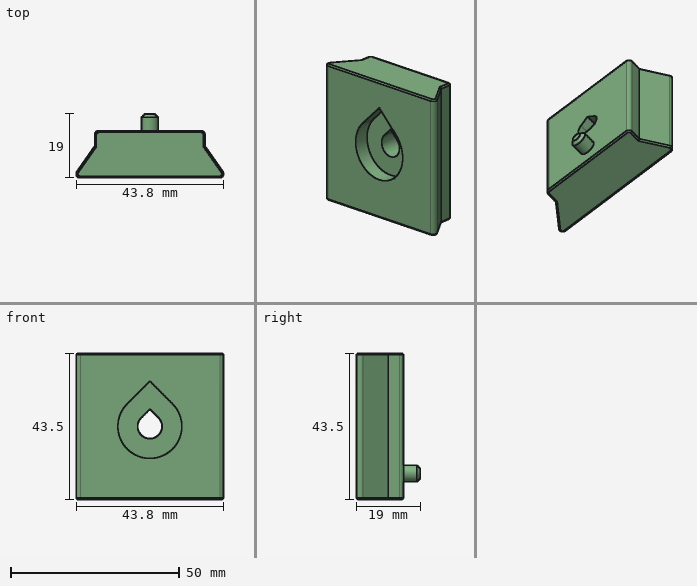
import cadquery as cq
import math

block_height = 43.5
block_thickness = 14.0
front_width = 46.0
back_width = 32.8
flank_angle = 35.0
corner_radius = 1.2
end_chamfer = 0.5

hole_radius = 3.6
recess_radius = 9.5
recess_depth = 5.0

pin_diameter = 5.0
pin_length = 5.0
pin_chamfer = 1.0
pin_z = -14.0


def make_block():
    """Dovetail profile extruded along Z, with rounded corners and chamfered ends."""
    front_half = front_width / 2
    back_half = back_width / 2
    knee_y = (front_half - back_half) / math.tan(math.radians(flank_angle))
    profile = [
        (-front_half, 0),
        (front_half, 0),
        (back_half, knee_y),
        (back_half, block_thickness),
        (-back_half, block_thickness),
        (-back_half, knee_y),
    ]
    block = (
        cq.Workplane("XY")
        .workplane(offset=-block_height / 2)
        .polyline(profile)
        .close()
        .extrude(block_height)
    )
    block = block.faces("<Y or >Y").edges("|Z").fillet(corner_radius)
    return block.faces("<Z or >Z").chamfer(end_chamfer)


def make_teardrop(radius, depth):
    """Teardrop prism from the front face toward +Y, with its 90 degree tip toward +Z."""
    tangent = radius * math.sqrt(0.5)
    tip_z = radius * math.sqrt(2)
    return (
        cq.Workplane("XZ")
        .moveTo(0, tip_z)
        .lineTo(-tangent, tangent)
        .threePointArc((0, -radius), (tangent, tangent))
        .close()
        .extrude(-depth)
    )


def make_pin():
    """Round pin standing on the back face, with a chamfered tip."""
    return (
        cq.Workplane("XZ", origin=(0, block_thickness, pin_z))
        .circle(pin_diameter / 2)
        .extrude(-pin_length)
        .faces(">Y")
        .chamfer(pin_chamfer)
    )


screw_hole = make_teardrop(hole_radius, block_thickness)
head_recess = make_teardrop(recess_radius, recess_depth)
result = make_block().cut(screw_hole).cut(head_recess).union(make_pin())